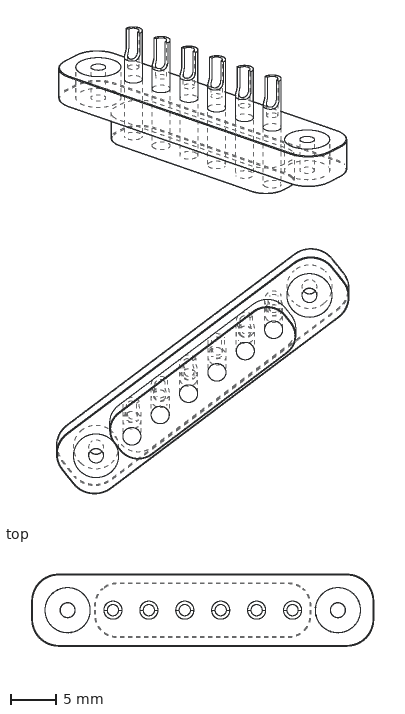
import cadquery as cq

FLANGE_LENGTH = 38.0
FLANGE_WIDTH = 8.0
FLANGE_THICKNESS = 3.75
FLANGE_CORNER_RADIUS = 3.0

PLUG_LENGTH = 24.0
PLUG_WIDTH = 6.08
PLUG_HEIGHT = 3.2
PLUG_CORNER_RADIUS = 2.5

EDGE_CHAMFER = 0.095

BUSHING_SPACING = 30.02
BUSHING_DIAMETER = 5.0
SCREW_HOLE_DIAMETER = 1.65

CONTACT_COUNT = 6
CONTACT_PITCH = 4.0
CONTACT_DIAMETER = 2.0
CONTACT_EXPOSED_HEIGHT = 5.95
CUP_BORE_DIAMETER = 1.25
CUP_BORE_DEPTH = 4.5
CUP_OPENING_DEPTH = 3.3
CUP_ARC_RADIUS = 1.0
CUP_WALL_OFFSET = 0.05

contact_radius = CONTACT_DIAMETER / 2
contact_top = FLANGE_THICKNESS + CONTACT_EXPOSED_HEIGHT
bushing_points = [(-BUSHING_SPACING / 2, 0), (BUSHING_SPACING / 2, 0)]
first_contact_x = -CONTACT_PITCH * (CONTACT_COUNT - 1) / 2
contact_points = [(first_contact_x + i * CONTACT_PITCH, 0) for i in range(CONTACT_COUNT)]


def rounded_block(length, width, height, corner_radius):
    """Block standing on z = 0 with rounded vertical edges."""
    block = cq.Workplane("XY").box(length, width, height, centered=(True, True, False))
    return block.edges("|Z").fillet(corner_radius)


def make_housing():
    """Flange and plug in one piece, with seats for the bushings and contacts."""
    flange = rounded_block(FLANGE_LENGTH, FLANGE_WIDTH, FLANGE_THICKNESS, FLANGE_CORNER_RADIUS)
    flange = flange.faces("<Z or >Z").chamfer(EDGE_CHAMFER)
    plug = rounded_block(PLUG_LENGTH, PLUG_WIDTH, PLUG_HEIGHT, PLUG_CORNER_RADIUS)
    plug = plug.faces("<Z").chamfer(EDGE_CHAMFER).translate((0, 0, -PLUG_HEIGHT))
    body = flange.union(plug)
    top = body.faces(">Z").workplane(origin=(0, 0, FLANGE_THICKNESS))
    body = top.pushPoints(bushing_points).hole(BUSHING_DIAMETER)
    top = body.faces(">Z").workplane(origin=(0, 0, FLANGE_THICKNESS))
    return top.pushPoints(contact_points).hole(CONTACT_DIAMETER)


def make_bushing(point):
    """Ring with a screw hole, flush with both flange faces."""
    ring = cq.Workplane("XY").circle(BUSHING_DIAMETER / 2).circle(SCREW_HOLE_DIAMETER / 2)
    return ring.extrude(FLANGE_THICKNESS).translate((*point, 0))


def make_contact(point):
    """Round pin from the plug face up, with a solder cup open toward -Y at its top."""
    pin = cq.Workplane("XY").workplane(offset=-PLUG_HEIGHT).circle(contact_radius)
    pin = pin.extrude(PLUG_HEIGHT + contact_top)

    bore_floor = contact_top - CUP_BORE_DEPTH
    bore = cq.Workplane("XY").workplane(offset=bore_floor).circle(CUP_BORE_DIAMETER / 2)
    bore = bore.extrude(CUP_BORE_DEPTH)

    opening_floor = contact_top - CUP_OPENING_DEPTH
    wall_y = -CUP_WALL_OFFSET
    front_y = wall_y - CUP_ARC_RADIUS
    opening = (
        cq.Workplane("YZ")
        .moveTo(front_y, contact_top)
        .lineTo(wall_y, contact_top)
        .lineTo(wall_y, opening_floor + CUP_ARC_RADIUS)
        .radiusArc((front_y, opening_floor), CUP_ARC_RADIUS)
        .close()
        .extrude(CONTACT_DIAMETER, both=True)
    )
    return pin.cut(bore).cut(opening).translate((*point, 0))


housing = make_housing()
bushings = [make_bushing(point) for point in bushing_points]
contacts = [make_contact(point) for point in contact_points]

result = cq.Compound.makeCompound([body.val() for body in [housing, *bushings, *contacts]])